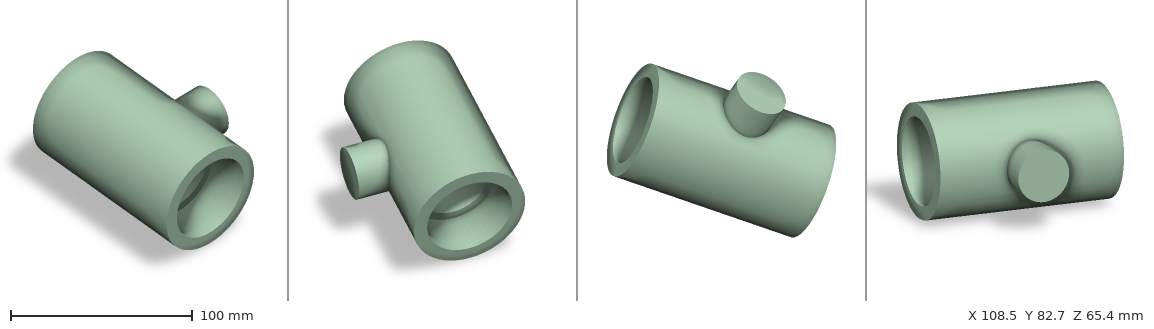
import cadquery as cq

pipe_length = 108.5
pipe_diameter = 65.4
bore_diameter = 40.0
socket_diameter = 50.0
socket_depth = 25.0

branch_diameter = 30.0
branch_reach = 50.0


def cylinder_along_x(diameter, start, length):
    """Solid round bar on the X axis."""
    return cq.Workplane("YZ", origin=(start, 0, 0)).circle(diameter / 2).extrude(length)


pipe_start = -pipe_length / 2
pipe_end = pipe_length / 2

body = cylinder_along_x(pipe_diameter, pipe_start, pipe_length)

branch = cq.Workplane("XZ").circle(branch_diameter / 2).extrude(-branch_reach)
body = body.union(branch)

body = body.cut(cylinder_along_x(bore_diameter, pipe_start, pipe_length))

for socket_start in (pipe_start, pipe_end - socket_depth):
    body = body.cut(cylinder_along_x(socket_diameter, socket_start, socket_depth))

result = body